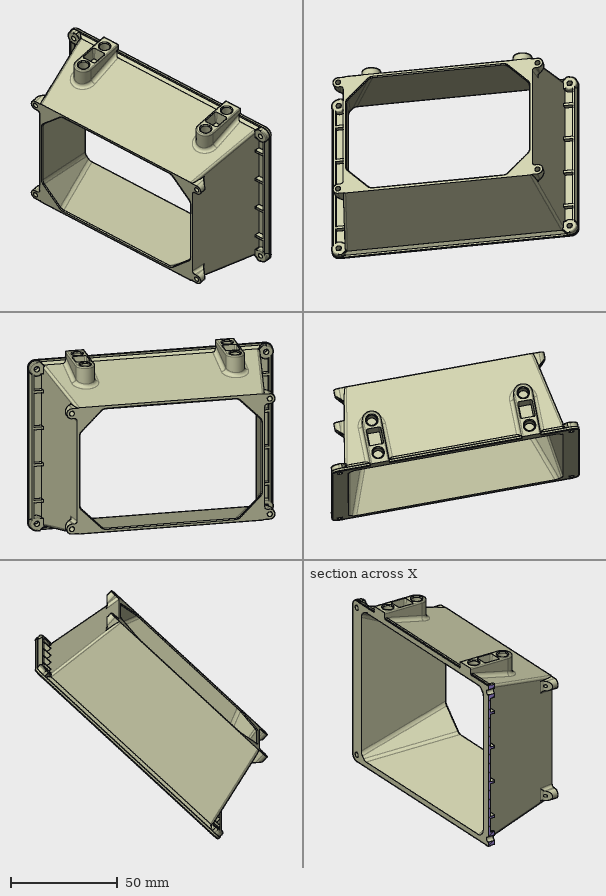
import cadquery as cq
import math

depth = 43.0

body_rear = (52.9, 40.5)
body_front = (45.2, 31.3)
body_corner_radius = 1.2

cavity_rear = (51.2, 38.8)
cavity_front = (43.5, 29.4)
cavity_rear_chamfer = 2.7
cavity_front_chamfer = 11.2
cavity_edge_radius = 3.0
window_edge_chamfer = 0.6

flange_half = (59.0, 42.0)
lip_thickness = 1.4
rim_depth = 3.8
flange_corner_radius = 3.8
lip_edge_chamfer = 0.4
gusset_height = 41.1
gusset_depth = 3.0

rim_inner = 56.6
rim_outer_front = 57.6
rim_outer_rear = 58.4
rib_pitch = 18.0
rib_count = 4
rib_thickness = 1.3

pad_position = (55.2, 38.2)
pad_radius = 3.5
pad_edge_radius = 0.5
pad_hole_diameter = 2.5

ear_position = (47.7, 28.5)
ear_radius = 2.5
ear_length = 8.3
ear_tip_length = 3.1
ear_root_radius = 1.4
ear_hole_mouth_diameter = 2.4
ear_hole_depth = 7.5
ear_hole_tip_diameter = 1.0

boss_x = 36.1
boss_top = 45.0
boss_radius = 4.5
boss_end_depth = 21.0
boss_edge_radius = 0.6
boss_root_radius = 2.0
boss_hole_diameter = 5.0
boss_hole_depth = 5.3
boss_hole_chamfer = 0.5
boss_hole_first_depth = 4.8
boss_pocket_size = (7.0, 8.3)
boss_pocket_corner = 1.0
boss_pocket_depth = 6.3
boss_pocket_draft = 5.5

SIDES = (-1, 1)
CORNERS = [(sx, sz) for sx in SIDES for sz in SIDES]


def front_plane(distance=0.0):
    """Plane parallel to the flange, a given distance in front of the mating face."""
    return cq.Workplane("XZ", origin=(0, -distance, 0))


def body_half(axis, distance):
    """Half width (axis 0) or half height (axis 1) of the body at a distance from the mating face."""
    return body_rear[axis] + (body_front[axis] - body_rear[axis]) * distance / depth


def make_body():
    """Four-sided taper: the overlap of its plan and side trapezoids, with rounded long edges."""
    (rear_x, rear_z), (front_x, front_z) = body_rear, body_front
    plan = (
        cq.Workplane("XY")
        .polyline([(-rear_x, 0), (-front_x, -depth), (front_x, -depth), (rear_x, 0)])
        .close()
        .extrude(rear_z, both=True)
    )
    profile = (
        cq.Workplane("YZ")
        .polyline([(0, -rear_z), (-depth, -front_z), (-depth, front_z), (0, rear_z)])
        .close()
        .extrude(rear_x, both=True)
    )
    return plan.intersect(profile).edges("not(#Y)").edges("not(|X or |Z)").fillet(body_corner_radius)


def add_bosses(body):
    """Round-ended bosses on the top face, blended into the slope."""
    base = body_front[1] - 2.4
    for side in SIDES:
        boss = (
            cq.Workplane("XY", origin=(side * boss_x, 0, base))
            .moveTo(-boss_radius, 0)
            .lineTo(-boss_radius, -boss_end_depth)
            .threePointArc((0, -boss_end_depth - boss_radius), (boss_radius, -boss_end_depth))
            .lineTo(boss_radius, 0)
            .close()
            .extrude(boss_top - base)
        )
        body = body.union(boss)
    margin = 0.1
    low = body_half(1, boss_end_depth + boss_radius) - margin
    root_zone = cq.selectors.BoxSelector(
        (-body_rear[0], -depth + margin, low),
        (body_rear[0], -margin, boss_top - margin),
    )
    root = [e for e in body.edges(root_zone).vals()
            if abs(abs(e.Center().x) - boss_x) < boss_radius + margin
            and e.BoundingBox().zmax < boss_top - margin
            and e.BoundingBox().ylen > margin]
    body = body.newObject(root).fillet(boss_root_radius)
    top_edges = body.faces(">Z").edges("not(>Y)")
    return top_edges.fillet(boss_edge_radius)


def cut_boss_recesses(part):
    second_depth = boss_end_depth
    for side in SIDES:
        top = cq.Workplane("XY", origin=(side * boss_x, 0, boss_top))
        holes = top.pushPoints([(0, -boss_hole_first_depth), (0, -second_depth)])
        part = part.cut(holes.circle(boss_hole_diameter / 2).extrude(-boss_hole_depth))
        for hole_depth in (boss_hole_first_depth, second_depth):
            mouth = cq.Solid.makeCone(
                boss_hole_diameter / 2,
                boss_hole_diameter / 2 + boss_hole_chamfer,
                boss_hole_chamfer,
                cq.Vector(side * boss_x, -hole_depth, boss_top - boss_hole_chamfer),
            )
            part = part.cut(cq.Workplane(mouth))
        pocket = top.center(0, -(boss_hole_first_depth + second_depth) / 2).sketch().rect(
            *boss_pocket_size).vertices().fillet(boss_pocket_corner).finalize().extrude(
            -boss_pocket_depth, taper=boss_pocket_draft)
        part = part.cut(pocket)
    return part


def make_lip():
    """Thin flange plate with small gussets along the long sides."""
    lip = (
        front_plane()
        .rect(2 * flange_half[0], 2 * flange_half[1])
        .extrude(lip_thickness)
        .edges("|Y")
        .fillet(flange_corner_radius)
        .faces(">Y")
        .edges()
        .chamfer(lip_edge_chamfer)
    )
    gusset_half_length = body_half(0, lip_thickness)
    for side in SIDES:
        gusset = (
            cq.Workplane("YZ", origin=(-gusset_half_length, 0, 0))
            .moveTo(-lip_thickness, side * gusset_height)
            .lineTo(-gusset_depth, side * body_half(1, gusset_depth))
            .lineTo(-lip_thickness, side * body_half(1, gusset_depth))
            .close()
            .extrude(2 * gusset_half_length)
        )
        lip = lip.union(gusset)
    return lip


def make_side_rims():
    """Drafted rims along the short sides, tied to the body by ribs."""
    pad_z = pad_position[1]
    rib_start = body_half(0, rim_depth) - 0.4
    rib_end = (rim_inner + rim_outer_front) / 2
    rims = cq.Workplane("XY")
    for side in SIDES:
        rim = (
            cq.Workplane("XY", origin=(0, 0, -pad_z))
            .polyline([
                (side * rim_inner, -lip_thickness),
                (side * rim_outer_rear, -lip_thickness),
                (side * rim_outer_front, -rim_depth),
                (side * rim_inner, -rim_depth),
            ])
            .close()
            .extrude(2 * pad_z)
        )
        ribs = (
            front_plane()
            .center(side * (rib_start + rib_end) / 2, 0)
            .rarray(1.2, rib_pitch, 1, rib_count)
            .rect(rib_end - rib_start, rib_thickness)
            .extrude(rim_depth)
        )
        rims = rims.union(rim).union(ribs)
    return rims


def make_pads():
    """Round screw pads in the flange corners, each with a web to the body."""
    pad_x, pad_z = pad_position
    web_inner = body_half(0, rim_depth) - 0.5
    web_top = pad_z + pad_radius
    web_chamfer = 2.1
    web_bottom = pad_z - pad_radius / math.sqrt(2)
    pads = cq.Workplane("XY")
    for sx, sz in CORNERS:
        pad = (
            front_plane()
            .center(sx * pad_x, sz * pad_z)
            .circle(pad_radius)
            .extrude(rim_depth)
            .faces("<Y")
            .edges()
            .fillet(pad_edge_radius)
        )
        web = (
            front_plane()
            .polyline([
                (sx * pad_x, sz * web_bottom),
                (sx * pad_x, sz * web_top),
                (sx * (web_inner + web_chamfer), sz * web_top),
                (sx * web_inner, sz * (web_top - web_chamfer)),
                (sx * web_inner, sz * web_bottom),
            ])
            .close()
            .extrude(rim_depth)
        )
        pads = pads.union(pad).union(web)
    return pads


def add_ears(body):
    """Screw ears at the front corners; their backs slope at 45 degrees and blend into the sides."""
    ear_x, ear_z = ear_position
    ear_tip = ear_x + ear_radius
    ear_root = body_front[0] - 1.0
    slope_run = ear_tip - ear_root
    for sx, sz in CORNERS:
        outline = (
            front_plane(depth)
            .moveTo(sx * ear_root, sz * (ear_z + ear_radius))
            .lineTo(sx * ear_x, sz * (ear_z + ear_radius))
            .threePointArc((sx * ear_tip, sz * ear_z), (sx * ear_x, sz * (ear_z - ear_radius)))
            .lineTo(sx * ear_root, sz * (ear_z - ear_radius))
            .close()
            .extrude(-ear_length)
        )
        side_profile = (
            cq.Workplane("XY")
            .polyline([
                (sx * ear_root, -depth),
                (sx * ear_tip, -depth),
                (sx * ear_tip, -depth + ear_tip_length),
                (sx * ear_root, -depth + ear_tip_length + slope_run),
            ])
            .close()
            .extrude(flange_half[1], both=True)
        )
        body = body.union(outline.intersect(side_profile))
    root_edges = []
    for sx, sz in CORNERS:
        zone = cq.selectors.BoxSelector(
            (sx * body_front[0], -depth + 0.1, sz * (ear_z - ear_radius - 0.1)),
            (sx * (ear_x - ear_radius / 2 + 0.2), 0, sz * (ear_z + 0.1)),
        )
        root_edges += body.edges(zone).vals()
    return body.newObject(root_edges).fillet(ear_root_radius)


def octagon(plane, half, chamfer):
    """Rectangle with 45 degree corners, drawn on the given plane."""
    x, z = half
    points = [
        (x, z - chamfer), (x - chamfer, z), (chamfer - x, z), (-x, z - chamfer),
        (-x, chamfer - z), (chamfer - x, -z), (x - chamfer, -z), (x, chamfer - z),
    ]
    return plane.polyline(points).close()


def make_cavity():
    rear = octagon(front_plane(), cavity_rear, cavity_rear_chamfer)
    cavity = octagon(rear.workplane(offset=depth), cavity_front, cavity_front_chamfer).loft(ruled=True)
    return cavity.faces("<Y or >Y").edges().end(2).edges(
        cq.selectors.BoxSelector((-116.8, -depth + 1.2, -116.8), (116.8, -1.2, 116.8))).fillet(cavity_edge_radius)


def cut_screw_holes(part):
    for sx, sz in CORNERS:
        pad_hole = (
            front_plane()
            .center(sx * pad_position[0], sz * pad_position[1])
            .circle(pad_hole_diameter / 2)
            .extrude(rim_depth)
        )
        ear_hole = cq.Workplane(cq.Solid.makeCone(
            ear_hole_mouth_diameter / 2,
            ear_hole_tip_diameter / 2,
            ear_hole_depth,
            cq.Vector(sx * ear_position[0], -depth, sz * ear_position[1]),
            cq.Vector(0, 1, 0),
        ))
        part = part.cut(pad_hole).cut(ear_hole)
    return part


housing = add_bosses(add_ears(make_body()))
housing = housing.union(make_lip()).union(make_side_rims()).union(make_pads())
housing = housing.cut(make_cavity())
housing = housing.faces("<Y").edges(
    cq.selectors.BoxSelector(
        (-cavity_front[0] - 0.1, -depth - 1.2, -cavity_front[1] - 0.1),
        (cavity_front[0] + 0.1, -depth + 1.2, cavity_front[1] + 0.1),
        boundingbox=True,
    )
)
housing = housing.chamfer(window_edge_chamfer)
housing = cut_boss_recesses(housing)
result = cut_screw_holes(housing)